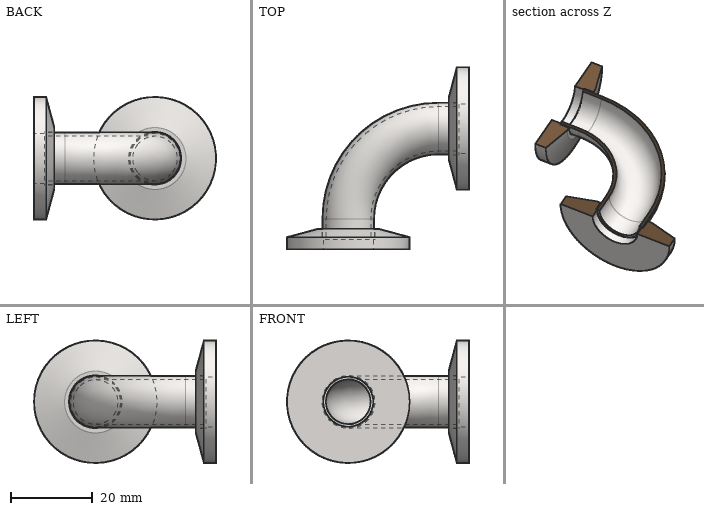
import cadquery as cq

overall = 44.5
flange_diameter = 30.0

rim_thickness = 3.0
flange_thickness = 5.0
hub_diameter = 15.15
bore_diameter = 12.2
socket_diameter = 12.9
bore_depth = 2.5

tube_outer_diameter = 12.7
tube_inner_diameter = 10.9
straight_beyond_flange = 2.5

port_distance = overall - flange_diameter / 2
bend_start = flange_thickness + straight_beyond_flange
bend_radius = port_distance - bend_start
straight_length = bend_start - bore_depth


def make_flange(face_plane):
    """Flange with a tapered back, a bore, and a wider tube socket behind it.

    The plane lies on the port face and its normal points into the elbow.
    """
    rim_radius = flange_diameter / 2
    profile = (
        cq.Workplane("XY")
        .moveTo(bore_diameter / 2, 0)
        .lineTo(rim_radius, 0)
        .lineTo(rim_radius, rim_thickness)
        .lineTo(hub_diameter / 2, flange_thickness)
        .lineTo(socket_diameter / 2, flange_thickness)
        .lineTo(socket_diameter / 2, bore_depth)
        .lineTo(bore_diameter / 2, bore_depth)
        .close()
    )
    flange = profile.revolve(360, (0, 0, 0), (0, 1, 0))
    upright = flange.rotate((0, 0, 0), (1, 0, 0), 90)
    return upright.val().moved(cq.Location(face_plane))


def make_tube():
    """Tube with a straight end in each flange and a quarter bend between."""
    tube_end = port_distance - bore_depth
    section = (
        cq.Workplane("XZ", origin=(0, -tube_end, 0))
        .circle(tube_outer_diameter / 2)
        .circle(tube_inner_diameter / 2)
    )
    path = (
        cq.Workplane("XY")
        .moveTo(0, -tube_end)
        .line(0, straight_length)
        .radiusArc((bend_radius, 0), bend_radius)
        .line(straight_length, 0)
    )
    return section.sweep(path)


front_port = cq.Plane(origin=(0, -port_distance, 0), xDir=(1, 0, 0), normal=(0, 1, 0))
side_port = cq.Plane(origin=(port_distance, 0, 0), xDir=(0, 1, 0), normal=(-1, 0, 0))

flanges = [make_flange(port) for port in (front_port, side_port)]
tube = make_tube()

result = cq.Compound.makeCompound([*flanges, tube.val()])